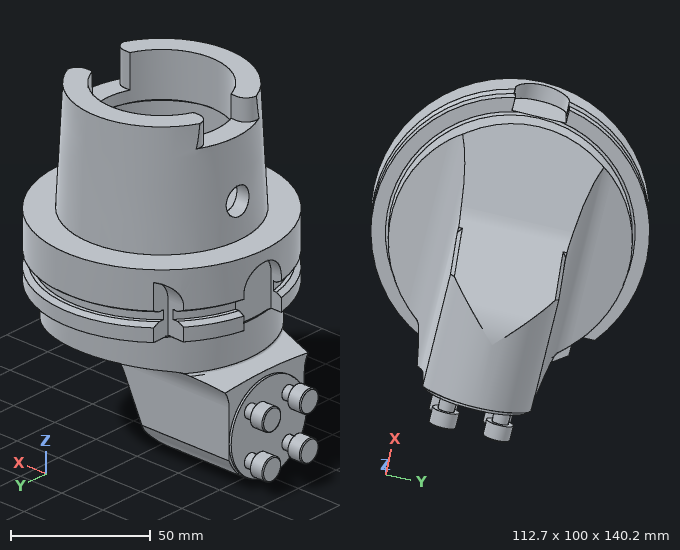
import cadquery as cq
import math


shank_length = 50.0
shank_base_radius = 76.1 / 2
taper_per_length = 0.05
shank_tip_radius = shank_base_radius - taper_per_length * shank_length

mouth_radius = 53.0 / 2
mouth_depth = 20.0
chamber_radius = 63.1 / 2
chamber_cone_angle = 60
chamber_floor = 3.4
chamber_fillet = 6.6
side_hole_diameter = 12.0
side_hole_height = 15.1

notch_width = 19.9
notch_round = 5.0
notch_round_x = 27.2
notch_depth_minus_x = 9.7
notch_depth_plus_x = 15.0

flange_radius = 100.0 / 2
flange_thickness = 29.2
groove_radius = 46.1
groove_centre_depth = 19.9
groove_width = 3.9
groove_bevel_width = 2.2
groove_bevel_height = 1.4

slot_width = 19.9
slot_top_depth = 4.9
slot_floor_x = 44.0
side_slot_y = 41.1
side_slot_floor_x = 31.5

body_radius = 87.5 / 2
body_fillet = 1.0

part_bottom = shank_length - 140.2
arm_width = 40.0
shoulder_edge_depth = 41.5
shoulder_angle = 10
shoulder_fillet = 12.0
arm_bottom_break = 13.2

arm_face_x = -51.0
underside_edge_depth = 43.0
underside_angle = 15
back_lean_angle = 25
back_corner_x = 3.9
back_inner_fillet = 15.0
back_lower_fillet = 22.5
back_edge_chamfer = 1.4
arm_top_depth = 45.8
arm_top_angle = 15

pad_thickness = 1.0
pad_radius = arm_width / 2
pad_centre_z = part_bottom + pad_radius
screw_spacing = 19.9
screw_shank_diameter = 6.0
screw_head_diameter = 10.0
screw_head_length = 6.0
screw_head_chamfer = 0.4
part_length_x = 112.7
screw_end_x = flange_radius - part_length_x


def tan_deg(angle):
    return math.tan(math.radians(angle))


def revolve_profile(points):
    """Solid of revolution about Z from (radius, height) points."""
    return cq.Workplane("XZ").polyline(points).close().revolve(360, (0, 0, 0), (0, 1, 0))


def make_shank():
    return revolve_profile([
        (0, -1.4),
        (shank_base_radius, -1.4),
        (shank_base_radius, 0),
        (shank_tip_radius, shank_length),
        (0, shank_length),
    ])


def make_flange():
    groove_top = -groove_centre_depth + groove_width / 2
    groove_bottom = -groove_centre_depth - groove_width / 2
    lip_radius = flange_radius - groove_bevel_width
    return revolve_profile([
        (0, 0),
        (flange_radius, 0),
        (flange_radius, groove_top + groove_bevel_height),
        (lip_radius, groove_top),
        (groove_radius, groove_top),
        (groove_radius, groove_bottom),
        (lip_radius, groove_bottom),
        (flange_radius, groove_bottom - groove_bevel_height),
        (flange_radius, -flange_thickness),
        (0, -flange_thickness),
    ])


def make_bore():
    """Narrow mouth, wider chamber behind a cone, and a rounded corner at the chamber floor."""
    mouth_bottom = shank_length - mouth_depth
    cone_drop = (chamber_radius - mouth_radius) / tan_deg(chamber_cone_angle)
    bore = revolve_profile([
        (0, shank_length),
        (mouth_radius, shank_length),
        (mouth_radius, mouth_bottom),
        (chamber_radius, mouth_bottom - cone_drop),
        (chamber_radius, chamber_floor),
        (0, chamber_floor),
    ])
    return bore.faces("<Z").edges().fillet(chamber_fillet)


def make_side_holes():
    return (
        cq.Workplane("YZ")
        .center(0, side_hole_height)
        .circle(side_hole_diameter / 2)
        .extrude(shank_base_radius, both=True)
    )


def make_notch(side, depth):
    """Tip notch whose corners flare out around the rounded shank lobes; side is -1 or +1 along X."""
    half_width = notch_width / 2
    round_y = half_width + notch_round

    def round_point(angle, y_side):
        turn = math.radians(angle)
        x = notch_round_x + notch_round * math.cos(turn)
        y = round_y + notch_round * math.sin(turn)
        return (side * x, y_side * y)

    farthest_angle = math.degrees(math.atan2(round_y, notch_round_x))
    end_x, end_y = round_point(farthest_angle, 1)
    outer_x = end_x * 2
    outer_y = end_y * 2
    return (
        cq.Workplane("XY")
        .workplane(offset=shank_length - depth)
        .moveTo(0, -half_width)
        .lineTo(side * notch_round_x, -half_width)
        .threePointArc(round_point(0, -1), (end_x, -end_y))
        .lineTo(outer_x, -outer_y)
        .lineTo(outer_x, outer_y)
        .lineTo(end_x, end_y)
        .threePointArc(round_point(0, 1), (side * notch_round_x, half_width))
        .lineTo(0, half_width)
        .close()
        .extrude(depth)
    )


def make_slot(centre_y, floor_x, side):
    """Round-topped flange slot, open at the bottom, with a flat floor at side * floor_x."""
    radius = slot_width / 2
    arc_z = -slot_top_depth - radius
    slot_bottom = -flange_thickness - body_fillet
    return (
        cq.Workplane("YZ", origin=(side * floor_x, centre_y, 0))
        .moveTo(-radius, slot_bottom)
        .lineTo(-radius, arc_z)
        .threePointArc((0, -slot_top_depth), (radius, arc_z))
        .lineTo(radius, slot_bottom)
        .close()
        .extrude(side * flange_radius)
    )


def make_lower_stock():
    """Body cylinder widening below into a cone for the arm, cut off flat at the arm face.

    Concave fillets join the cylinder to the flange above and to the cone below.
    """
    reach = flange_radius * 2
    stock_bottom = part_bottom * 1.5
    fillet_top = -flange_thickness
    fillet_axis = body_radius + body_fillet
    diagonal = body_fillet * (1 - math.sqrt(0.5))
    arm_turn = math.radians(90 - arm_top_angle)
    arm_tangent = body_fillet * math.tan(arm_turn / 2)
    arm_fillet_z = arm_tangent - arm_top_depth
    mid_fillet = (
        fillet_axis - body_fillet * math.cos(arm_turn / 2),
        arm_fillet_z - body_fillet * math.sin(arm_turn / 2),
    )
    end_fillet = (
        fillet_axis - body_fillet * math.cos(arm_turn),
        arm_fillet_z - body_fillet * math.sin(arm_turn),
    )
    round_stock = (
        cq.Workplane("XZ")
        .moveTo(0, fillet_top)
        .lineTo(fillet_axis, fillet_top)
        .threePointArc(
            (body_radius + diagonal, fillet_top - diagonal),
            (body_radius, fillet_top - body_fillet),
        )
        .lineTo(body_radius, arm_fillet_z)
        .threePointArc(mid_fillet, end_fillet)
        .lineTo(reach, -arm_top_depth - (reach - body_radius) * tan_deg(arm_top_angle))
        .lineTo(reach, stock_bottom)
        .lineTo(0, stock_bottom)
        .close()
        .revolve(360, (0, 0, 0), (0, 1, 0))
    )
    beyond_face = cq.Workplane("YZ", origin=(arm_face_x, 0, 0)).rect(reach * 2, reach * 4).extrude(-reach)
    return round_stock.cut(beyond_face)


def shoulder_z(y):
    """Height of the sloped shoulder plane at a distance y from the middle plane."""
    return -shoulder_edge_depth - (body_radius - y) * tan_deg(shoulder_angle)


def make_cross_section():
    """Shoulders, straight sides and rounded bottom, extruded along X."""
    half_width = arm_width / 2
    reach = flange_radius * 2
    break_z = part_bottom + arm_bottom_break
    prism = (
        cq.Workplane("YZ")
        .moveTo(-half_width, break_z)
        .threePointArc((0, part_bottom), (half_width, break_z))
        .lineTo(half_width, shoulder_z(half_width))
        .lineTo(reach, shoulder_z(reach))
        .lineTo(reach, 0)
        .lineTo(-reach, 0)
        .lineTo(-reach, shoulder_z(reach))
        .lineTo(-half_width, shoulder_z(half_width))
        .close()
        .extrude(reach, both=True)
    )
    inner_corners = cq.selectors.BoxSelector(
        (-reach * 2, -half_width - 1.4, shoulder_z(half_width) - 1.4),
        (reach * 2, half_width + 1.4, shoulder_z(half_width) + 1.4),
    )
    return prism.edges("|X").edges(inner_corners).fillet(shoulder_fillet)


def make_back_prism(half_width):
    """Underside and leaning back of the arm, extruded along Y to each side."""
    underside_slope = tan_deg(underside_angle)
    far_x = flange_radius
    corner_z = -underside_edge_depth - (body_radius - back_corner_x) * underside_slope
    far_z = corner_z + (far_x - back_corner_x) * underside_slope
    foot_x = back_corner_x - (corner_z - part_bottom) * tan_deg(back_lean_angle)
    inner_turn = 90 - underside_angle - back_lean_angle
    inner_tangent = back_inner_fillet * tan_deg(inner_turn / 2)
    foot_tangent = back_lower_fillet * tan_deg((90 - back_lean_angle) / 2)
    lean_x = math.sin(math.radians(back_lean_angle))
    lean_z = math.cos(math.radians(back_lean_angle))
    slope_x = math.cos(math.radians(underside_angle))
    slope_z = math.sin(math.radians(underside_angle))
    front_x = -flange_radius * 2
    return (
        cq.Workplane("XZ")
        .moveTo(front_x, 0)
        .lineTo(front_x, part_bottom)
        .lineTo(foot_x - foot_tangent, part_bottom)
        .tangentArcPoint(
            (foot_x + foot_tangent * lean_x, part_bottom + foot_tangent * lean_z), relative=False
        )
        .lineTo(back_corner_x - inner_tangent * lean_x, corner_z - inner_tangent * lean_z)
        .tangentArcPoint(
            (back_corner_x + inner_tangent * slope_x, corner_z + inner_tangent * slope_z),
            relative=False,
        )
        .lineTo(far_x, far_z)
        .lineTo(far_x, 0)
        .close()
        .extrude(half_width, both=True)
    )


def make_back_envelope():
    """Back with chamfered edges along the flat arm sides and plain edges along the shoulders."""
    reach = flange_radius * 2
    fillet_drop = shoulder_fillet * tan_deg((90 - shoulder_angle) / 2)
    sides_top = shoulder_z(arm_width / 2) - fillet_drop
    sides = make_back_prism(arm_width / 2).faces("<Y or >Y").edges().chamfer(back_edge_chamfer)
    above_sides = cq.Workplane("XY", origin=(0, 0, sides_top)).rect(reach * 2, reach * 2).extrude(-sides_top)
    shoulders = make_back_prism(flange_radius).intersect(above_sides)
    return sides.union(shoulders)


def make_pad_and_screws():
    pad_x = arm_face_x - pad_thickness
    pad = (
        cq.Workplane("YZ", origin=(arm_face_x, 0, pad_centre_z))
        .circle(pad_radius)
        .extrude(-pad_thickness)
    )
    screw_places = cq.Workplane("YZ", origin=(pad_x, 0, pad_centre_z)).rect(
        screw_spacing, screw_spacing, forConstruction=True
    ).vertices()
    shanks = screw_places.circle(screw_shank_diameter / 2).extrude(screw_end_x - pad_x)
    heads = (
        cq.Workplane("YZ", origin=(screw_end_x, 0, pad_centre_z))
        .rect(screw_spacing, screw_spacing, forConstruction=True)
        .vertices()
        .circle(screw_head_diameter / 2)
        .extrude(screw_head_length)
        .faces("<X")
        .edges()
        .chamfer(screw_head_chamfer)
    )
    return pad.union(shanks).union(heads)


lower_body = (
    make_lower_stock()
    .intersect(make_cross_section())
    .intersect(make_back_envelope())
)

result = make_flange().union(make_shank()).union(lower_body).union(make_pad_and_screws())
result = result.cut(make_bore()).cut(make_side_holes())
result = result.cut(make_notch(-1, notch_depth_minus_x))
result = result.cut(make_notch(1, notch_depth_plus_x))
for slot_side in (-1, 1):
    result = result.cut(make_slot(0, slot_floor_x, slot_side))
result = result.cut(make_slot(side_slot_y, side_slot_floor_x, -1))